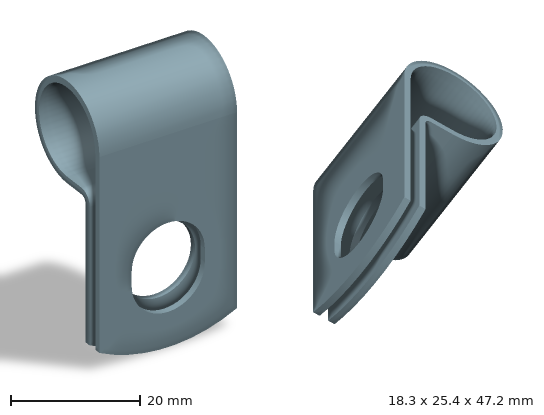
import cadquery as cq
import math

height = 47.25
width = 25.4
loop_diameter = 18.33
thickness = 1.2
leg_gap = 1.6
bend_radius = 2.25
hole_diameter = 13.5
hole_height = 14.3
slot_travel = 2.45
end_sag = 2.98

loop_radius = loop_diameter / 2
bore_radius = loop_radius - thickness
bottom = loop_radius - height
short_leg_right = bore_radius - leg_gap
short_leg_left = short_leg_right - thickness
bend_x = short_leg_right - bend_radius
bend_z = -bore_radius - bend_radius
bend_inner_radius = bend_radius - thickness
gap_middle = short_leg_right + leg_gap / 2
hole_center_z = bottom + hole_height


def arc_point(center_x, center_z, radius, angle):
    """Point on a circle in the XZ plane, with the angle in degrees from +X."""
    turn = math.radians(angle)
    return (center_x + radius * math.cos(turn), center_z + radius * math.sin(turn))


def make_strap():
    """Constant-thickness strip bent into a loop with two parallel legs."""
    return (
        cq.Workplane("XZ")
        .moveTo(loop_radius, bottom)
        .lineTo(loop_radius, 0)
        .threePointArc(arc_point(0, 0, loop_radius, 135), (0, -loop_radius))
        .lineTo(bend_x, -loop_radius)
        .threePointArc(
            arc_point(bend_x, bend_z, bend_inner_radius, 45),
            (short_leg_left, bend_z),
        )
        .lineTo(short_leg_left, bottom)
        .lineTo(short_leg_right, bottom)
        .lineTo(short_leg_right, bend_z)
        .threePointArc(arc_point(bend_x, bend_z, bend_radius, 45), (bend_x, -bore_radius))
        .lineTo(0, -bore_radius)
        .threePointArc(arc_point(0, 0, bore_radius, 135), (bore_radius, 0))
        .lineTo(bore_radius, bottom)
        .close()
        .extrude(width / 2, both=True)
    )


def make_side_outline():
    """Block through the whole strap whose lower edge is the rounded leg end."""
    half_width = width / 2
    return (
        cq.Workplane("YZ")
        .moveTo(-half_width, loop_radius)
        .lineTo(-half_width, bottom + end_sag)
        .threePointArc((0, bottom), (half_width, bottom + end_sag))
        .lineTo(half_width, loop_radius)
        .close()
        .extrude(loop_radius, both=True)
    )


def make_screw_hole():
    """Cylinder along X that pierces the short leg and stops in the gap."""
    return (
        cq.Workplane("YZ", origin=(gap_middle, 0, hole_center_z))
        .circle(hole_diameter / 2)
        .extrude(-loop_radius)
    )


def make_screw_slot():
    """Upright rounded slot along X that pierces the long leg from the gap outward."""
    return (
        cq.Workplane("YZ", origin=(gap_middle, 0, hole_center_z))
        .slot2D(hole_diameter + slot_travel, hole_diameter, 90)
        .extrude(loop_radius)
    )


result = (
    make_strap()
    .intersect(make_side_outline())
    .cut(make_screw_hole())
    .cut(make_screw_slot())
)